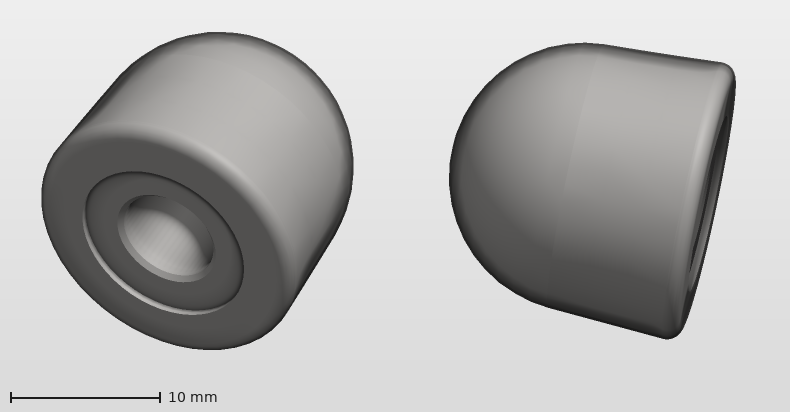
import cadquery as cq
import math

total_length = 17.5
base_diameter = 19.0
dome_diameter = 18.0
cone_length = 9.0
base_rounding = 1.0

recess_diameter = 12.0
recess_depth = 0.5

hole_diameter = 6.65
hole_depth = 10.0
drill_point_angle = 118.0
countersink_diameter = 7.3
countersink_angle = 90.0

y_base = 0.0
y_dome = y_base + cone_length
y_apex = y_base + total_length
y_recess = y_base + recess_depth


def make_body():
    """Tapered plug with a spherical-cap dome and a rounded base edge."""
    dome_radius = dome_diameter / 2
    cap_height = y_apex - y_dome
    sphere_radius = (dome_radius**2 + cap_height**2) / (2 * cap_height)
    y_center = y_apex - sphere_radius
    half_sweep = math.atan2(dome_radius, y_dome - y_center) / 2
    cap_middle = (
        sphere_radius * math.sin(half_sweep),
        y_center + sphere_radius * math.cos(half_sweep),
    )
    profile = (
        cq.Workplane("XY")
        .moveTo(0, y_base)
        .lineTo(base_diameter / 2, y_base)
        .lineTo(dome_radius, y_dome)
        .threePointArc(cap_middle, (0, y_apex))
        .close()
    )
    body = profile.revolve(360, (0, 0, 0), (0, 1, 0))
    return body.faces("<Y").edges().fillet(base_rounding)


def make_cavity():
    """Shallow recess, countersink, hole and conical drill point as one solid of revolution."""
    recess_radius = recess_diameter / 2
    hole_radius = hole_diameter / 2
    countersink_radius = countersink_diameter / 2
    countersink_depth = (countersink_radius - hole_radius) / math.tan(math.radians(countersink_angle / 2))
    point_depth = hole_radius / math.tan(math.radians(drill_point_angle / 2))
    y_hole_end = y_base + hole_depth
    profile = (
        cq.Workplane("XY")
        .moveTo(0, y_base)
        .lineTo(recess_radius, y_base)
        .lineTo(recess_radius, y_recess)
        .lineTo(countersink_radius, y_recess)
        .lineTo(hole_radius, y_recess + countersink_depth)
        .lineTo(hole_radius, y_hole_end)
        .lineTo(0, y_hole_end + point_depth)
        .close()
    )
    return profile.revolve(360, (0, 0, 0), (0, 1, 0))


result = make_body().cut(make_cavity())